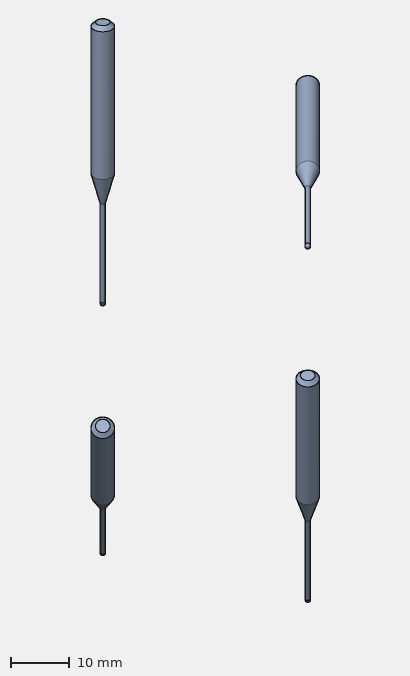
import cadquery as cq

OVERALL_LENGTH = 55.0

SHANK_RADIUS = 4.0 / 2
SHANK_CHAMFER = 0.75
SHANK_BOTTOM_Z = 25.6

TAPER_BOTTOM_Z = 20.0
TAPER_END_RADIUS = 0.5
NECK_TOP_Z = 19.85
NECK_RADIUS = 0.47

BALL_RADIUS = 0.5
HEAD_LENGTH = 0.75


def make_holder():
    """Revolve the chamfered shank, its taper and the neck as one solid."""
    return (
        cq.Workplane("XZ")
        .moveTo(0, HEAD_LENGTH)
        .lineTo(NECK_RADIUS, HEAD_LENGTH)
        .lineTo(NECK_RADIUS, NECK_TOP_Z)
        .lineTo(TAPER_END_RADIUS, TAPER_BOTTOM_Z)
        .lineTo(SHANK_RADIUS, SHANK_BOTTOM_Z)
        .lineTo(SHANK_RADIUS, OVERALL_LENGTH - SHANK_CHAMFER)
        .lineTo(SHANK_RADIUS - SHANK_CHAMFER, OVERALL_LENGTH)
        .lineTo(0, OVERALL_LENGTH)
        .close()
        .revolve(360, (0, 0), (0, 1))
    )


def make_cutting_head():
    """Revolve the hemispherical tip and the short cylinder that meets the neck."""
    return (
        cq.Workplane("XZ")
        .moveTo(0, 0)
        .radiusArc((BALL_RADIUS, BALL_RADIUS), -BALL_RADIUS)
        .lineTo(BALL_RADIUS, HEAD_LENGTH)
        .lineTo(0, HEAD_LENGTH)
        .close()
        .revolve(360, (0, 0), (0, 1))
    )


holder = make_holder()
cutting_head = make_cutting_head()

result = cq.Compound.makeCompound([holder.val(), cutting_head.val()])